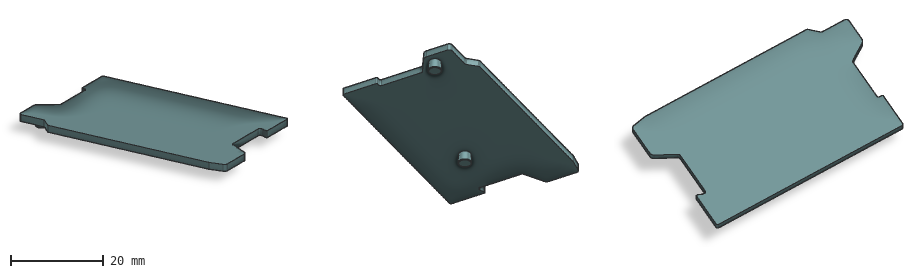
import cadquery as cq

length = 53.9
width = 31.05
height = 4.0
plate_thickness = 1.6
peg_height = height - plate_thickness

head_left = 3.4
head_right = 50.85
neck_left = 4.65
neck_right = 48.55
head_bottom = 22.4
neck_bottom = 11.85
wing_top = 8.85

step_height = 2.25
step_start = 6.6
step_end = step_start + step_height

taper_start = 50.1
taper_rise = 0.75

hook_depth = 0.45
hook_slope_start = 49.5
hook_slope_end = 50.35

head_radius = 0.45
neck_radius = 0.65
wing_radius = 1.1
foot_radius = 0.75
step_radius = 0.55
notch_radius = 0.45
lip_radius = 0.25
taper_radius = 1.1

peg_centers = [(2.65, 7.6), (36.05, 19.1)]
peg_root_diameter = 2.7
peg_end_diameter = 3.0
peg_chamfer = 0.15


def round_corners(plate, corners, radius):
    """Fillet the vertical plate edges at the given outline corners."""
    for x, y in corners:
        edge = cq.selectors.NearestToPointSelector((x, y, plate_thickness / 2))
        plate = plate.edges("|Z").edges(edge).fillet(radius)
    return plate


def make_plate():
    outline = [
        (0, step_height),
        (step_start, step_height),
        (step_end, 0),
        (taper_start, 0),
        (length, taper_rise),
        (length, wing_top),
        (neck_right, neck_bottom),
        (neck_right, head_bottom + hook_depth),
        (hook_slope_start, head_bottom + hook_depth),
        (hook_slope_end, head_bottom),
        (head_right, head_bottom),
        (head_right, width),
        (head_left, width),
        (head_left, head_bottom),
        (neck_left, head_bottom),
        (neck_left, neck_bottom),
        (0, wing_top),
    ]
    plate = cq.Workplane("XY").polyline(outline).close().extrude(plate_thickness)
    plate = round_corners(plate, [(head_left, width), (head_right, width)], head_radius)
    plate = round_corners(plate, [(neck_left, neck_bottom), (neck_right, neck_bottom)], neck_radius)
    plate = round_corners(plate, [(0, wing_top), (length, wing_top)], wing_radius)
    plate = round_corners(plate, [(0, step_height), (length, taper_rise)], foot_radius)
    plate = round_corners(plate, [(step_start, step_height), (step_end, 0)], step_radius)
    plate = round_corners(plate, [(head_left, head_bottom)], lip_radius)
    plate = round_corners(plate, [(taper_start, 0)], taper_radius)
    notch_corners = [(neck_left, head_bottom), (neck_right, head_bottom + hook_depth)]
    return round_corners(plate, notch_corners, notch_radius)


def make_peg(center):
    peg = (
        cq.Workplane("XY")
        .circle(peg_root_diameter / 2)
        .workplane(offset=-peg_height)
        .circle(peg_end_diameter / 2)
        .loft()
        .faces("<Z")
        .chamfer(peg_chamfer)
    )
    return peg.translate((*center, 0))


result = make_plate()
for peg_center in peg_centers:
    result = result.union(make_peg(peg_center))